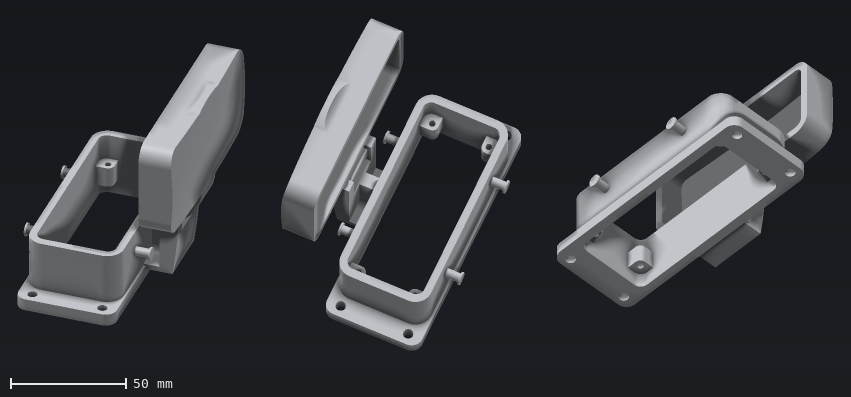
import cadquery as cq
import math


flange_length = 113.0
flange_width = 45.2
flange_corner_radius = 5.1
flange_top = 5.6
gasket_thickness = 1.6
screw_hole_diameter = 4.5
screw_hole_x = 16.0
screw_hole_y = 51.6

wall_length = 93.9
wall_width = 42.9
wall_corner_radius = 7.6
wall_top = 29.4
draft_line = 24.0
draft_angle = 0.2
side_wall = 3.4
end_wall = 3.8
cavity_corner_radius = 3.8
cavity_length = wall_length - 2 * end_wall
cavity_width = wall_width - 2 * side_wall

boss_size_x = 7.7
boss_size_y = 7.6
boss_corner_radius = 2.8
boss_bottom = 7.9
boss_top = 17.4
boss_hole_diameter = 2.9
boss_hole_x = 13.5
boss_hole_y = 38.8

pin_tip_x = 28.9
pin_y = 23.8
pin_z = 19.2
pin_diameter = 4.1
pin_head_diameter = 6.0
pin_head_thickness = 0.9

bracket_front = 29.0
bracket_back = 37.7
bracket_foot_back = 34.8
bracket_width = 28.0
bracket_bottom = 4.0
bracket_top = 38.2
bracket_top_radius = 5.6
bracket_back_bow = 0.5
bracket_slot_width = 17.9
base_plate_top = 6.4
rib_width = 6.2
rib_fillet = 3.7

cover_front = 31.0
cover_back = 48.0
cover_bottom = 44.9
cover_height = 43.4
cover_length = wall_length
cover_corner_radius = wall_corner_radius
cover_rim = 3.8
cover_recess_radius = cover_corner_radius - cover_rim
cover_back_thickness = 3.7
cover_middle_z = cover_bottom + cover_height / 2
cover_top = cover_bottom + cover_height
crown_z = 1.5
crown_y = 1.4

grip_chord = 25.1
grip_top = 89.8
grip_scoop_start = 40.1
grip_scoop_radius = 5.1

arm_width = 17.3
arm_front = 37.1
arm_end_x = 37.1
arm_bow = 2.3
crossbar_front = 30.6
crossbar_top = 35.4
crossbar_bottom = 29.2

overlap = 1.1


def mirrored(x, y):
    """Four points, one in each quadrant."""
    return [(x, y), (-x, y), (x, -y), (-x, -y)]


def arc_radius(chord, height):
    """Radius of the arc with the given chord and height."""
    return (chord**2 / 4 + height**2) / (2 * height)


def bowed_middle(start, end, bow):
    """Middle of an arc from start to end, standing out by bow to the left of that direction."""
    length = math.dist(start, end)
    return (
        (start[0] + end[0]) / 2 - bow * (end[1] - start[1]) / length,
        (start[1] + end[1]) / 2 + bow * (end[0] - start[0]) / length,
    )


def rounded_block(width, length, bottom, top, radius):
    return (
        cq.Workplane("XY")
        .workplane(offset=bottom)
        .rect(width, length)
        .extrude(top - bottom)
        .edges("|Z")
        .fillet(radius)
    )


def drafted_column(width, length, radius, bottom, top):
    """Rounded column, upright above the draft line and widening below it."""
    upper = rounded_block(width, length, draft_line, top, radius)
    return upper.faces("<Z").wires().toPending().extrude(
        -(draft_line - bottom), combine=True, taper=-draft_angle
    )


def side_plate(outline, width):
    """Closed XZ outline extruded to both sides of Y = 0."""
    return outline.close().extrude(width / 2, both=True)



def flange_slab(bottom, top):
    slab = rounded_block(flange_width, flange_length, bottom, top, flange_corner_radius)
    holes = (
        cq.Workplane("XY")
        .workplane(offset=bottom)
        .pushPoints(mirrored(screw_hole_x, screw_hole_y))
        .circle(screw_hole_diameter / 2)
        .extrude(top - bottom)
    )
    return slab.cut(holes)


def housing_cavity():
    return drafted_column(cavity_width, cavity_length, cavity_corner_radius, 0, wall_top)


def make_gasket():
    return flange_slab(0, gasket_thickness).cut(housing_cavity())



def corner_bosses():
    bosses = cq.Workplane("XY")
    for x_side, y_side in mirrored(1, 1):
        inner_x = cavity_width / 2 - boss_size_x
        inner_y = cavity_length / 2 - boss_size_y
        boss = (
            cq.Workplane("XY")
            .workplane(offset=boss_bottom)
            .center(
                x_side * (inner_x + (boss_size_x + overlap) / 2),
                y_side * (inner_y + (boss_size_y + overlap) / 2),
            )
            .rect(boss_size_x + overlap, boss_size_y + overlap)
            .extrude(boss_top - boss_bottom)
        )
        inner_edge = cq.selectors.NearestToPointSelector(
            (x_side * inner_x, y_side * inner_y, (boss_bottom + boss_top) / 2)
        )
        bosses = bosses.add(boss.edges("|Z").edges(inner_edge).fillet(boss_corner_radius))
    holes = (
        cq.Workplane("XY")
        .workplane(offset=boss_bottom)
        .pushPoints(mirrored(boss_hole_x, boss_hole_y))
        .circle(boss_hole_diameter / 2)
        .extrude(boss_top - boss_bottom)
    )
    return bosses.combine().cut(holes)


def locking_pin(x_side, y):
    """Headed pin pointing outwards from a long side."""
    root_x = wall_width / 2 - overlap
    return (
        cq.Workplane("YZ", origin=(x_side * root_x, y, pin_z))
        .circle(pin_diameter / 2)
        .extrude(x_side * (pin_tip_x - root_x))
        .union(
            cq.Workplane("YZ", origin=(x_side * pin_tip_x, y, pin_z))
            .circle(pin_head_diameter / 2)
            .extrude(-x_side * pin_head_thickness)
        )
    )


def bracket_upright():
    """Plate with a bowed back and a rounded top, slotted for the hinge arm of the cover."""
    foot = (bracket_foot_back, bracket_bottom)
    shoulder = (bracket_back, bracket_top - bracket_top_radius)
    outline = (
        cq.Workplane("XZ")
        .moveTo(bracket_front, bracket_bottom)
        .lineTo(*foot)
        .threePointArc(bowed_middle(foot, shoulder, -bracket_back_bow), shoulder)
        .radiusArc((bracket_back - bracket_top_radius, bracket_top), -bracket_top_radius)
        .lineTo(bracket_front, bracket_top)
    )
    slot = cq.Workplane("XY").box(
        bracket_back - bracket_front,
        bracket_slot_width,
        bracket_top - draft_line,
        centered=(False, True, False),
    )
    return side_plate(outline, bracket_width).cut(slot.translate((bracket_front, 0, draft_line)))


def bracket_foot():
    """Base plate and filleted central rib that tie the upright to the wall."""
    root_x = wall_width / 2 - overlap
    half_width = bracket_width / 2
    half_rib = rib_width / 2
    return (
        cq.Workplane("YZ", origin=(root_x, 0, 0))
        .moveTo(-half_width, bracket_bottom)
        .lineTo(half_width, bracket_bottom)
        .lineTo(half_width, base_plate_top)
        .lineTo(half_rib + rib_fillet, base_plate_top)
        .radiusArc((half_rib, base_plate_top + rib_fillet), rib_fillet)
        .lineTo(half_rib, draft_line)
        .lineTo(-half_rib, draft_line)
        .lineTo(-half_rib, base_plate_top + rib_fillet)
        .radiusArc((-half_rib - rib_fillet, base_plate_top), rib_fillet)
        .lineTo(-half_width, base_plate_top)
        .close()
        .extrude(bracket_front - root_x)
    )


def make_housing():
    wall = drafted_column(wall_width, wall_length, wall_corner_radius, gasket_thickness, wall_top)
    housing = flange_slab(gasket_thickness, flange_top).union(wall)
    housing = housing.union(bracket_foot()).union(bracket_upright())
    housing = housing.cut(housing_cavity()).union(corner_bosses())
    for x_side, y_side in mirrored(1, 1):
        housing = housing.union(locking_pin(x_side, y_side * pin_y))
    return housing



def crowned_block(length, height, radius, back):
    """Rounded block from the cover's open side to a back crowned in both Y and Z."""
    block = (
        cq.Workplane("YZ", origin=(cover_front, 0, cover_middle_z))
        .rect(length, height)
        .extrude(back - cover_front)
        .edges("|X")
        .fillet(radius)
    )
    crown_axis_x = back - arc_radius(cover_length, crown_y)
    edge_x = back - crown_z
    sweep_angle = 10
    crown = (
        cq.Workplane("XZ")
        .moveTo(cover_front - overlap - crown_y, cover_bottom)
        .lineTo(edge_x, cover_bottom)
        .threePointArc((back, cover_middle_z), (edge_x, cover_top))
        .lineTo(cover_front - overlap - crown_y, cover_top)
        .close()
        .revolve(
            sweep_angle,
            (crown_axis_x, 0, 0),
            (crown_axis_x, 1, 0),
        )
        .rotate((crown_axis_x, 0, 0), (crown_axis_x, 0, 1), -sweep_angle / 2)
    )
    return block.intersect(crown)


def thumb_grip():
    """Low arched ridge along the back edge with a scooped front."""
    grip_back = cover_back - crown_z
    ridge = (
        cq.Workplane("YZ", origin=(grip_scoop_start, 0, 0))
        .moveTo(-grip_chord / 2, cover_top)
        .threePointArc((0, grip_top), (grip_chord / 2, cover_top))
        .lineTo(grip_chord / 2, cover_top - overlap)
        .lineTo(-grip_chord / 2, cover_top - overlap)
        .close()
        .extrude(grip_back - grip_scoop_start)
    )
    scoop = (
        cq.Workplane("XZ")
        .center(grip_scoop_start, cover_top + grip_scoop_radius)
        .circle(grip_scoop_radius)
        .extrude(grip_chord / 2, both=True)
    )
    return ridge.cut(scoop)


def hinge_arm():
    arm_back_top = (cover_back - crown_z, cover_bottom)
    arm_end = (arm_end_x, crossbar_bottom)
    outline = (
        cq.Workplane("XZ")
        .moveTo(arm_front, cover_bottom)
        .lineTo(arm_front, crossbar_top)
        .lineTo(crossbar_front, crossbar_top)
        .lineTo(crossbar_front, crossbar_bottom)
        .lineTo(*arm_end)
        .threePointArc(bowed_middle(arm_end, arm_back_top, -arm_bow), arm_back_top)
    )
    return side_plate(outline, arm_width)


def make_cover():
    shell = crowned_block(cover_length, cover_height, cover_corner_radius, cover_back)
    recess = crowned_block(
        cover_length - 2 * cover_rim,
        cover_height - 2 * cover_rim,
        cover_recess_radius,
        cover_back - cover_back_thickness,
    )
    return shell.union(thumb_grip()).cut(recess).union(hinge_arm())


gasket = make_gasket()
housing = make_housing()
cover = make_cover()

result = cq.Compound.makeCompound([body.solids().val() for body in (gasket, housing, cover)])